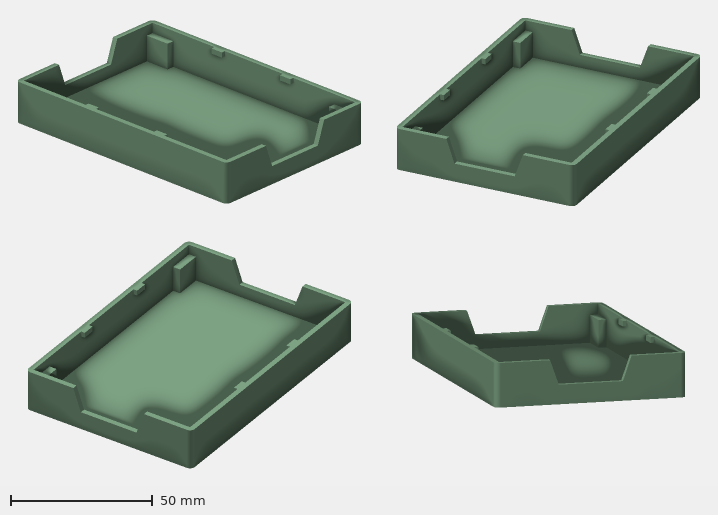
import cadquery as cq

length = 101.8
width = 70.5
height = 16.0
wall = 2.0
floor = 2.0
corner_radius = 2.0

block_length = 10.0
block_width = 3.0
block_drop = 4.0

tab_length = 5.0
tab_depth = 1.5
tab_height = 2.0
tab_offset = 16.5

notch_top_width = 30.0
notch_bottom_width = 23.6
notch_depth = 9.0

inner_length = length - 2 * wall
inner_width = width - 2 * wall
from_floor = (True, True, False)


def make_tray():
    """Open box with rounded outer corners and a sharp-cornered cavity."""
    body = cq.Workplane("XY").box(length, width, height, centered=from_floor)
    body = body.edges("|Z").fillet(corner_radius)
    cavity = (
        cq.Workplane("XY", origin=(0, 0, floor))
        .box(inner_length, inner_width, height, centered=from_floor)
    )
    return body.cut(cavity)


def make_notches():
    """Trapezoidal prism that opens both short walls at once."""
    bottom = height - notch_depth
    return (
        cq.Workplane("YZ")
        .polyline([
            (-notch_top_width / 2, height),
            (-notch_bottom_width / 2, bottom),
            (notch_bottom_width / 2, bottom),
            (notch_top_width / 2, height),
        ])
        .close()
        .extrude(length, both=True)
    )


def make_wall_pads(pad_length, pad_depth, x_offset, bottom, top):
    """Four mirrored pads standing out from the long walls into the cavity."""
    y_offset = (inner_width - pad_depth) / 2
    return (
        cq.Workplane("XY", origin=(0, 0, bottom))
        .rect(2 * x_offset, 2 * y_offset, forConstruction=True)
        .vertices()
        .rect(pad_length, pad_depth)
        .extrude(top - bottom)
    )


block_offset = (inner_length - block_length) / 2
blocks = make_wall_pads(block_length, block_width, block_offset, floor, height - block_drop)
tabs = make_wall_pads(tab_length, tab_depth, tab_offset, height - tab_height, height)

result = make_tray().cut(make_notches()).union(blocks).union(tabs)